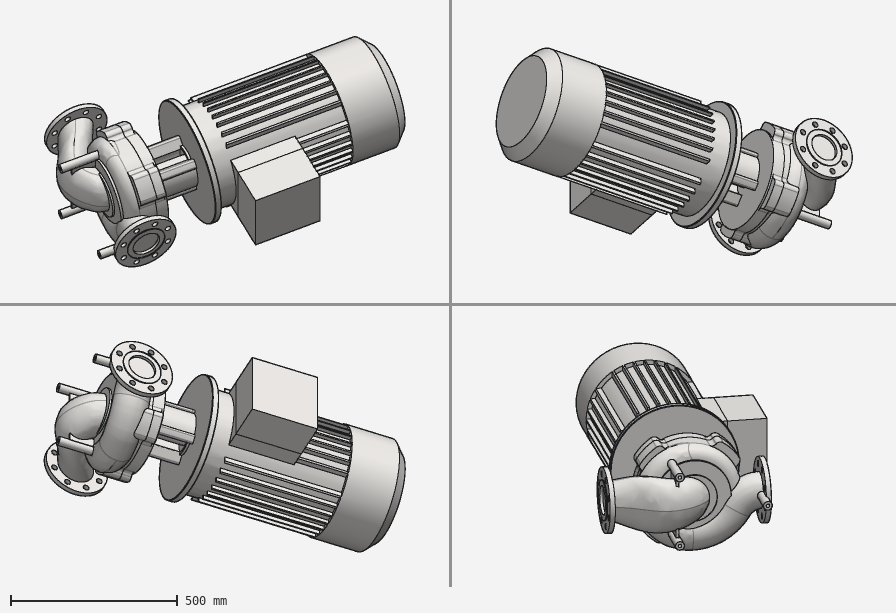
import cadquery as cq
import math


MOTOR_TOP = 902.0
FAN_COVER_BOTTOM = 712.0
FAN_COVER_RADIUS = 178.0
FAN_COVER_CHAMFER = 35.0
STATOR_RADIUS = 165.0
FIN_BOTTOM = 330.0
FIN_PITCH = 32.0
FIN_THICKNESS = 5.0
FINS_EACH_SIDE_OF_CENTRE = 3

BOX_TOP = 545.0
BOX_HALF_WIDTH = 106.0
BOX_OUTER_X = 299.0

LANTERN_TOP = 266.0
LANTERN_FLANGE_RADIUS = 197.5
LANTERN_FLANGE_THICKNESS = 21.0
LANTERN_FLANGE_CHAMFER = 2.0
LANTERN_WALL_RADIUS = 76.0
LANTERN_BORE_RADIUS = 49.0
LANTERN_RING_RADIUS = 58.0
LANTERN_RING_HEIGHT = 8.0
WINDOW_HALF_ANGLE = 35
LUG_RADIUS = 86.0
LUG_HALF_WIDTH = 15.0
LUG_FILLET = 6.0
LANTERN_UNDERSIDE = LANTERN_TOP - LANTERN_FLANGE_THICKNESS

SHAFT_RADIUS = 26.0

COVER_TOP = 109.0
COVER_EAR_TOP = 103.0
COVER_BOTTOM = 71.0
BODY_BOTTOM = 18.0
BODY_RADIUS = 157.0
EAR_RADIUS = 182.0
EAR_HALF_WIDTH = 48.0
EAR_FILLET = 17.0
FACE_Y = -30.0
FACE_RADIUS = 117.0
BOSS_Y = -37.0
BOSS_RADIUS = 73.0

VOLUTE_START_CENTRE = 117.0
VOLUTE_START_RADIUS = 40.0
VOLUTE_END_CENTRE = 126.0
VOLUTE_END_RADIUS = 56.0
VOLUTE_STEPS = 6
SHOULDER_FILLET = VOLUTE_START_RADIUS - 1.0

INLET_X = -270.0
OUTLET_X = 229.0
FLANGE_RADIUS = 101.0
FLANGE_THICKNESS = 16.0
RAISED_FACE_RADIUS = 62.0
RAISED_FACE_HEIGHT = 3.0
FLANGE_BORE_RADIUS = 44.0
FLANGE_BORE_DEPTH = 9.0
FLANGE_HOLE_RADIUS = 9.0
FLANGE_HOLE_CIRCLE = 80.0
FLANGE_HOLES = 8
FLANGE_DEPTH = FLANGE_THICKNESS + RAISED_FACE_HEIGHT

INLET_FLANGE_END = (-4.0, 0, 59.0, 61.0)
INLET_SECTIONS = [
    (-220.0, -20.0, 0, 58.0, 70.0),
    (-183.0, -39.0, 0, 57.0, 82.0),
    (-108.0, -78.0, 0, 57.0, 86.0),
    (-38.0, -62.0, 45, 58.0, 75.0),
    (-15.0, -25.0, 90, 63.0, 62.0),
]

OUTLET_LOWER_BEND_SHARE = 0.6

PIN_END = -146.0
PIN_RADIUS = 14.0
PIN_HOLE_RADIUS = 5.0
PIN_HOLE_DEPTH = 31.0
SIDE_PIN_X = -63.0
SIDE_PIN_Z = 109.0
SIDE_PIN_TOP = 0.0
OUTLET_PIN_X = 206.0
OUTLET_PIN_TOP = -52.0
WEB_THICKNESS = 8.0
WEB_END = -109.0
WEB_INNER_Z = 63.0


def cylinder(radius, start, end, x=0, z=0):
    """Cylinder along Y from start to end."""
    axis = cq.Vector(0, 1, 0)
    return cq.Workplane(cq.Solid.makeCylinder(radius, end - start, cq.Vector(x, start, z), axis))


def block(x_range, y_range, z_range):
    """Box given by its two limits along each axis."""
    ranges = (x_range, y_range, z_range)
    size = [high - low for low, high in ranges]
    return cq.Workplane(cq.Solid.makeBox(*size, cq.Vector(*[low for low, high in ranges])))


def make_diagonal_bars(radius, half_width, bottom, top):
    """Two crossed bars at 45 degrees to X and Z, with their ends rounded to the radius."""
    bars = cq.Workplane()
    for angle in (45, 135):
        bar = (
            cq.Workplane("XZ", origin=(0, bottom, 0))
            .transformed(rotate=(0, 0, angle))
            .rect(3 * radius, 2 * half_width)
            .extrude(bottom - top)
        )
        bars.add(bar)
    return bars.combine().intersect(cylinder(radius, bottom, top))


def make_box_base():
    """Pedestal that carries the terminal box, shaped to the stator below it."""
    z_range = (-BOX_HALF_WIDTH, BOX_HALF_WIDTH)
    base = block((0, FAN_COVER_RADIUS), (FIN_BOTTOM, BOX_TOP), z_range)
    return base.cut(cylinder(STATOR_RADIUS, FIN_BOTTOM, BOX_TOP))


def make_terminal_box():
    z_range = (-BOX_HALF_WIDTH, BOX_HALF_WIDTH)
    return block((FAN_COVER_RADIUS, BOX_OUTER_X), (FIN_BOTTOM, BOX_TOP), z_range)


def make_fins():
    """Crossing parallel fins in the X and Z directions, trimmed to the fan cover radius."""
    envelope = cylinder(FAN_COVER_RADIUS, FIN_BOTTOM, FAN_COVER_BOTTOM)
    span = (-FAN_COVER_RADIUS, FAN_COVER_RADIUS)
    length = (FIN_BOTTOM, FAN_COVER_BOTTOM)
    fins = cq.Workplane()
    for index in range(-FINS_EACH_SIDE_OF_CENTRE, FINS_EACH_SIDE_OF_CENTRE + 1):
        centre = index * FIN_PITCH
        thickness = (centre - FIN_THICKNESS / 2, centre + FIN_THICKNESS / 2)
        fins.add(block(thickness, length, span))
        fins.add(block(span, length, thickness))
    return fins.combine().intersect(envelope)


def make_motor(box_base):
    fan_cover = cylinder(FAN_COVER_RADIUS, FAN_COVER_BOTTOM, MOTOR_TOP)
    fan_cover = fan_cover.faces(">Y").chamfer(FAN_COVER_CHAMFER)
    stator = cylinder(STATOR_RADIUS, LANTERN_TOP, FAN_COVER_BOTTOM)
    return stator.union(make_fins()).union(fan_cover).cut(box_base)


def make_lantern():
    """Motor flange on a slotted tube with lugs along the window edges."""
    flange = cylinder(LANTERN_FLANGE_RADIUS, LANTERN_UNDERSIDE, LANTERN_TOP)
    flange = flange.edges().chamfer(LANTERN_FLANGE_CHAMFER)
    tube = cylinder(LANTERN_WALL_RADIUS, COVER_TOP, LANTERN_UNDERSIDE)
    bore = cylinder(LANTERN_BORE_RADIUS, COVER_TOP, LANTERN_UNDERSIDE)
    window_z = 2 * LANTERN_WALL_RADIUS
    window_x = window_z * math.tan(math.radians(WINDOW_HALF_ANGLE))
    for side in (-1, 1):
        window = (
            cq.Workplane("XZ", origin=(0, COVER_TOP, 0))
            .polyline([(0, 0), (-window_x, side * window_z), (window_x, side * window_z)])
            .close()
            .extrude(COVER_TOP - LANTERN_UNDERSIDE)
        )
        tube = tube.cut(window)
    lugs = make_diagonal_bars(LUG_RADIUS, LUG_HALF_WIDTH, COVER_TOP, LANTERN_UNDERSIDE)
    lugs = lugs.edges("|Y").fillet(LUG_FILLET)
    ring = cylinder(LANTERN_RING_RADIUS, LANTERN_UNDERSIDE - LANTERN_RING_HEIGHT, LANTERN_UNDERSIDE)
    return tube.union(lugs).union(ring).cut(bore).union(flange)


def make_shaft():
    return cylinder(SHAFT_RADIUS, COVER_TOP, LANTERN_UNDERSIDE)


def make_eared_disc(bottom, top):
    """Disc with four rounded ears on the diagonals."""
    ears = make_diagonal_bars(EAR_RADIUS, EAR_HALF_WIDTH, bottom, top)
    disc = cylinder(BODY_RADIUS, bottom, top).union(ears)
    return disc.edges("|Y").fillet(EAR_FILLET)


def make_cover():
    ears = make_eared_disc(COVER_BOTTOM, COVER_EAR_TOP)
    return ears.union(cylinder(BODY_RADIUS, COVER_EAR_TOP, COVER_TOP))


def make_volute():
    """Tube of growing radius, from above the axis round -X to below it."""
    sections = []
    for step in range(VOLUTE_STEPS + 1):
        share = step / VOLUTE_STEPS
        angle = math.pi * (0.5 + share)
        distance = VOLUTE_START_CENTRE + share * (VOLUTE_END_CENTRE - VOLUTE_START_CENTRE)
        radius = VOLUTE_START_RADIUS + share * (VOLUTE_END_RADIUS - VOLUTE_START_RADIUS)
        centre = cq.Vector(distance * math.cos(angle), BODY_BOTTOM, distance * math.sin(angle))
        along = cq.Vector(-math.sin(angle), 0, math.cos(angle))
        sections.append(cq.Wire.makeCircle(radius, centre, along))
    return cq.Workplane(cq.Solid.makeLoft(sections))


def inlet_section(x, y, heading, half_width, half_height):
    """Oval wire centred on the XY plane; heading is in degrees from +X towards +Y."""
    turn = math.radians(heading)
    along = cq.Vector(math.cos(turn), math.sin(turn), 0)
    across = cq.Vector(0, 0, 1)
    return cq.Wire.makeEllipse(half_height, half_width, cq.Vector(x, y, 0), along, across)


def make_inlet_pipe():
    """Oval pipe that widens away from the inlet flange, then an elbow up to the casing face."""
    flange_end = inlet_section(INLET_X + FLANGE_DEPTH, *INLET_FLANGE_END)
    rest = [inlet_section(*section) for section in INLET_SECTIONS]
    return cq.Workplane(cq.Solid.makeLoft([flange_end, *rest]))


def make_outlet_pipe():
    """Round pipe that rises in an S of two arcs from the end of the volute to the outlet flange."""
    start = cq.Vector(0, BODY_BOTTOM, -VOLUTE_END_CENTRE)
    end = cq.Vector(OUTLET_X - FLANGE_DEPTH / 2, 0, 0)
    heading = cq.Vector(end.x - start.x, end.y - start.y, 0)
    inflection = start + (end - start) * OUTLET_LOWER_BEND_SHARE
    lower_bend = cq.Edge.makeTangentArc(start, heading, inflection)
    upper_bend = cq.Edge.makeTangentArc(inflection, lower_bend.tangentAt(1), end)
    path = cq.Wire.assembleEdges([lower_bend, upper_bend])
    return cq.Workplane("YZ", origin=start).circle(VOLUTE_END_RADIUS).sweep(path)


def make_pipe_flange(face_x, outward):
    """Drilled flange with a raised face at face_x; outward is -1 or 1 along X."""
    flange = (
        cq.Workplane("YZ", origin=(face_x - outward * FLANGE_DEPTH, 0, 0))
        .circle(FLANGE_RADIUS)
        .extrude(outward * FLANGE_THICKNESS)
    )
    face = (
        cq.Workplane("YZ", origin=(face_x, 0, 0))
        .circle(RAISED_FACE_RADIUS)
        .extrude(-outward * FLANGE_DEPTH)
    )
    holes = (
        cq.Workplane("YZ", origin=(face_x, 0, 0))
        .polarArray(FLANGE_HOLE_CIRCLE, 180 / FLANGE_HOLES, 360, FLANGE_HOLES)
        .circle(FLANGE_HOLE_RADIUS)
        .extrude(-outward * FLANGE_DEPTH)
    )
    bore = (
        cq.Workplane("YZ", origin=(face_x, 0, 0))
        .circle(FLANGE_BORE_RADIUS)
        .extrude(-outward * FLANGE_BORE_DEPTH)
    )
    return flange.union(face).cut(holes).cut(bore)


def make_web(side):
    """Thin web between the inlet pipe and a side pin; side is -1 or 1 along Z."""
    x_range = (SIDE_PIN_X - WEB_THICKNESS / 2, SIDE_PIN_X + WEB_THICKNESS / 2)
    z_range = sorted((side * WEB_INNER_Z, side * SIDE_PIN_Z))
    return block(x_range, (WEB_END, FACE_Y), z_range)


def make_casing():
    casing = make_eared_disc(BODY_BOTTOM, COVER_BOTTOM)
    shoulder_bottom = BODY_BOTTOM - VOLUTE_START_RADIUS
    shoulder = cylinder(BODY_RADIUS, shoulder_bottom, BODY_BOTTOM)
    shoulder = shoulder.faces("<Y").edges().fillet(SHOULDER_FILLET)
    casing = casing.union(shoulder)
    casing = casing.union(cylinder(FACE_RADIUS, FACE_Y, BODY_BOTTOM))
    casing = casing.union(cylinder(BOSS_RADIUS, BOSS_Y, BODY_BOTTOM))
    casing = casing.union(make_volute())
    casing = casing.union(make_outlet_pipe())
    casing = casing.union(make_inlet_pipe())
    for side in (-1, 1):
        casing = casing.union(make_web(side))
    casing = casing.union(make_pipe_flange(INLET_X, -1))
    return casing.union(make_pipe_flange(OUTLET_X, 1))


def make_pin(x, z, top):
    pin = cylinder(PIN_RADIUS, PIN_END, top, x, z)
    return pin.cut(cylinder(PIN_HOLE_RADIUS, PIN_END, PIN_END + PIN_HOLE_DEPTH, x, z))


box_base = make_box_base()
terminal_box = make_terminal_box()
motor = make_motor(box_base)
lantern = make_lantern()
shaft = make_shaft()
cover = make_cover()
casing = make_casing()

pin_places = [
    (SIDE_PIN_X, SIDE_PIN_Z, SIDE_PIN_TOP),
    (SIDE_PIN_X, -SIDE_PIN_Z, SIDE_PIN_TOP),
    (OUTLET_PIN_X, 0, OUTLET_PIN_TOP),
]
pins = cq.Workplane()
for x, z, top in pin_places:
    pins.add(make_pin(x, z, top))
    casing = casing.cut(cylinder(PIN_RADIUS, PIN_END, top, x, z))

result = cq.Compound.makeCompound(
    [
        motor.val(),
        box_base.val(),
        terminal_box.val(),
        lantern.val(),
        shaft.val(),
        cover.val(),
        casing.val(),
        *pins.vals(),
    ]
)